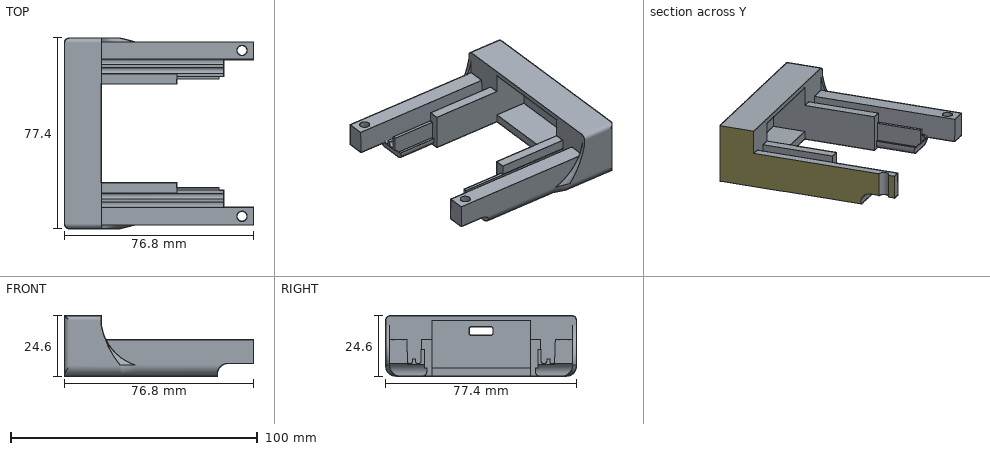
import cadquery as cq
import math

length = 76.75
width = 77.4
height = 24.62
half_width = width / 2

block_depth = 15.0
top_round = 2.0
front_round = 2.0
bottom_round = 4.2
front_wall = 1.2
roof_thickness = 2.0
floor_thickness = 3.4
slot_width = 9.5
slot_height = 3.3
slot_corner = 0.6
slot_z = 18.35

bar_outer_y = 37.15
bar_inner_top_y = 30.1
bar_inner_bottom_y = 29.8
bar_top_z = 14.85
bar_bottom_z = 5.1
arm_bottom_round = 4.5
fin_inner_y = 23.0
fin_outer_y = 24.3
fin_top_z = 10.8
fin_end_x = 64.6
lip_inner_y = 22.0
lip_top_z = 3.3
lip_round = 2.0
groove_floor_z = 5.2
wide_groove_round = 1.05
narrow_groove_round = 0.6
rib_inner_y = 26.65
rib_outer_y = 27.9
rib_top_z = 7.0
arm_foot_end_x = 62.1
foot_notch_radius = 4.0
pin_hole_diameter = 4.0
pin_hole_x = 72.0

slab_inner_y = 19.95
slab_outer_y = 24.1
slab_end_x = 45.6

cheek_top_z = 20.5
cheek_outer_end_x = 22.5
cheek_inner_end_x = 28.6
cheek_outer_mid = (18.45, 10.7)
cheek_inner_mid = (19.8, 10.4)
cheek_foot_round = 3.8
foot_top_z = 4.6


def circle_point(center_across, center_up, radius, angle):
    """Point on a circle, at an angle in degrees."""
    turn = math.radians(angle)
    return (center_across + radius * math.cos(turn), center_up + radius * math.sin(turn))


def head_block():
    """Block with rounded sides, as the overlap of its end and plan outlines."""
    side_faces = cq.Workplane("XY").box(block_depth, width, height, centered=(False, True, False))
    end_shape = side_faces.edges("|X and >Z").fillet(top_round)
    end_shape = end_shape.edges("|X and <Z").fillet(bottom_round)
    plan_shape = side_faces.edges("|Z and <X").fillet(front_round)
    return end_shape.intersect(plan_shape)


def cavity():
    """Hollow between the slabs, open at the back of the block."""
    return (
        cq.Workplane("XY")
        .box(
            block_depth - front_wall,
            2 * slab_inner_y,
            height - roof_thickness - floor_thickness,
            centered=(False, True, False),
        )
        .translate((front_wall, 0, floor_thickness))
    )


def front_slot():
    """Rounded rectangular opening through the front wall."""
    return (
        cq.Workplane("YZ")
        .center(0, slot_z)
        .rect(slot_width, slot_height)
        .extrude(front_wall)
        .edges("|X")
        .fillet(slot_corner)
    )


def arm_section():
    """Constant section of one arm: bar, two grooves with a rib between, fin and lip."""
    round_y = bar_outer_y - arm_bottom_round
    lip_round_y = lip_inner_y + lip_round
    wide_round_z = groove_floor_z + wide_groove_round
    narrow_round_z = groove_floor_z + narrow_groove_round
    fin_root_y = fin_outer_y + wide_groove_round
    rib_inner_root_y = rib_inner_y - wide_groove_round
    rib_outer_root_y = rib_outer_y + narrow_groove_round
    bar_root_y = bar_inner_bottom_y - narrow_groove_round
    return (
        cq.Workplane("YZ", origin=(block_depth, 0, 0))
        .moveTo(bar_outer_y, bar_top_z)
        .lineTo(bar_outer_y, arm_bottom_round)
        .threePointArc(circle_point(round_y, arm_bottom_round, arm_bottom_round, -45), (round_y, 0))
        .lineTo(lip_round_y, 0)
        .threePointArc(circle_point(lip_round_y, lip_round, lip_round, -135), (lip_inner_y, lip_round))
        .lineTo(lip_inner_y, lip_top_z)
        .lineTo(fin_inner_y, lip_top_z)
        .lineTo(fin_inner_y, fin_top_z)
        .lineTo(fin_outer_y, fin_top_z)
        .lineTo(fin_outer_y, wide_round_z)
        .threePointArc(
            circle_point(fin_root_y, wide_round_z, wide_groove_round, -135), (fin_root_y, groove_floor_z)
        )
        .lineTo(rib_inner_root_y, groove_floor_z)
        .threePointArc(
            circle_point(rib_inner_root_y, wide_round_z, wide_groove_round, -45), (rib_inner_y, wide_round_z)
        )
        .lineTo(rib_inner_y, rib_top_z)
        .lineTo(rib_outer_y, rib_top_z)
        .lineTo(rib_outer_y, narrow_round_z)
        .threePointArc(
            circle_point(rib_outer_root_y, narrow_round_z, narrow_groove_round, -135),
            (rib_outer_root_y, groove_floor_z),
        )
        .lineTo(bar_root_y, groove_floor_z)
        .threePointArc(
            circle_point(bar_root_y, narrow_round_z, narrow_groove_round, -45),
            (bar_inner_bottom_y, narrow_round_z),
        )
        .lineTo(bar_inner_top_y, bar_top_z)
        .close()
    )


def arm():
    """One arm, with only its bar carried on to the far end and drilled there."""
    body = arm_section().extrude(length - block_depth)
    notch_x = arm_foot_end_x + foot_notch_radius
    notch_z = bar_bottom_z - foot_notch_radius
    foot_notch = (
        cq.Workplane("XZ")
        .moveTo(arm_foot_end_x, 0)
        .lineTo(arm_foot_end_x, notch_z)
        .threePointArc(circle_point(notch_x, notch_z, foot_notch_radius, 135), (notch_x, bar_bottom_z))
        .lineTo(length, bar_bottom_z)
        .lineTo(length, 0)
        .close()
        .extrude(-half_width)
    )
    beyond_fin = cq.Workplane("XY").box(
        length - fin_end_x, bar_inner_bottom_y, bar_top_z, centered=False
    ).translate((fin_end_x, 0, 0))
    bar_middle_y = (bar_inner_top_y + bar_outer_y) / 2
    pin_hole = (
        cq.Workplane("XY")
        .center(pin_hole_x, bar_middle_y)
        .circle(pin_hole_diameter / 2)
        .extrude(bar_top_z)
    )
    return body.cut(foot_notch).cut(beyond_fin).cut(pin_hole)


def slab():
    """Upright slab standing against the inner side of the fin."""
    return cq.Workplane("XY").box(
        slab_end_x - block_depth, slab_outer_y - slab_inner_y, bar_top_z, centered=False
    ).translate((block_depth, slab_inner_y, 0))


def cheek_outline(plane_y, end_x, mid_point):
    """Side outline of the cheek in one lengthwise plane, bounded behind by an arc."""
    return (
        cq.Workplane("XZ", origin=(0, plane_y, 0))
        .moveTo(block_depth, cheek_top_z)
        .threePointArc(mid_point, (end_x, foot_top_z))
        .lineTo(block_depth, foot_top_z)
        .close()
        .val()
    )


def foot_outline(x, outer_y, corner_round):
    """Cross outline of the rounded lower corner under the cheek."""
    round_y = outer_y - corner_round
    return (
        cq.Workplane("YZ", origin=(x, 0, 0))
        .moveTo(bar_inner_top_y, 0)
        .lineTo(round_y, 0)
        .threePointArc(circle_point(round_y, corner_round, corner_round, -45), (outer_y, corner_round))
        .lineTo(outer_y, foot_top_z)
        .lineTo(bar_inner_top_y, foot_top_z)
        .close()
        .val()
    )


def cheek():
    """Tapering side blend above the rounded foot that runs out into the arm."""
    side = cq.Solid.makeLoft(
        [
            cheek_outline(half_width, cheek_outer_end_x, cheek_outer_mid),
            cheek_outline(bar_outer_y, cheek_inner_end_x, cheek_inner_mid),
        ],
        True,
    )
    straight_foot = cq.Solid.makeLoft(
        [
            foot_outline(block_depth, half_width, bottom_round),
            foot_outline(cheek_inner_end_x, half_width, bottom_round),
        ],
        True,
    )
    tapered_foot = cq.Solid.makeLoft(
        [
            foot_outline(cheek_outer_end_x, half_width, cheek_foot_round),
            foot_outline(cheek_inner_end_x, bar_outer_y, arm_bottom_round),
        ],
        True,
    )
    block_foot = cq.Workplane("XY").box(
        cheek_outer_end_x - block_depth, half_width, foot_top_z, centered=False
    ).translate((block_depth, 0, 0))
    foot = cq.Workplane(straight_foot).intersect(block_foot.union(cq.Workplane(tapered_foot)))
    return foot.union(cq.Workplane(side))


side_parts = arm().union(slab()).union(cheek())
result = (
    head_block()
    .cut(cavity())
    .cut(front_slot())
    .union(side_parts)
    .union(side_parts.mirror("XZ"))
)